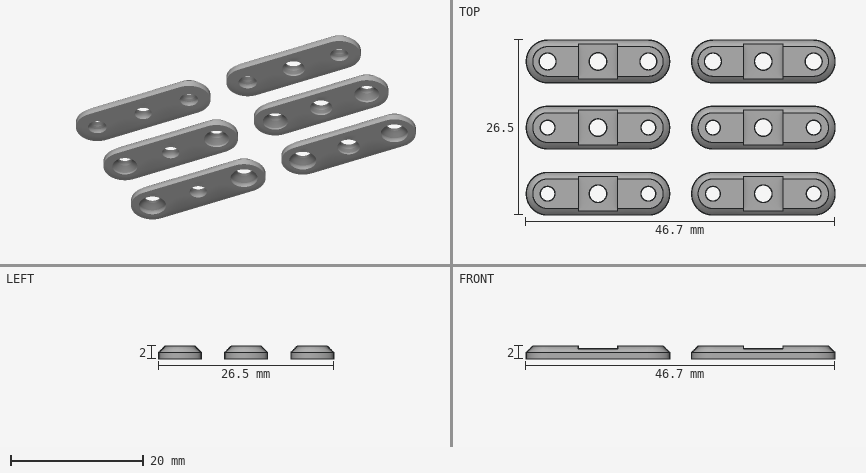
import cadquery as cq

TOTAL_LENGTH = 46.7
TOTAL_WIDTH = 26.5

PLATE_LENGTH = 21.7
PLATE_WIDTH = 6.5
PLATE_HEIGHT = 2.0
BEVEL = PLATE_HEIGHT / 2

RECESS_LENGTH = 5.95
RECESS_DEPTH = 0.395

END_HOLE_SPACING = PLATE_LENGTH - PLATE_WIDTH
END_HOLES_BY_ROW = [
    (2.2, 2.8, 0.8),
    (2.2, 3.8, 0.305),
    (2.5, 4.1, 0.8),
]

CENTER_DIAMETER = 2.6
CENTER_HEAD_DIAMETER = 3.4
CENTER_HEAD_DEPTH = 0.305

COLUMN_PITCH = TOTAL_LENGTH - PLATE_LENGTH
ROW_PITCH = (TOTAL_WIDTH - PLATE_WIDTH) / (len(END_HOLES_BY_ROW) - 1)


def plate_blank():
    """Round-ended bar with a 45 degree bevel around its top edge."""
    return (
        cq.Workplane("XY")
        .slot2D(PLATE_LENGTH, PLATE_WIDTH)
        .extrude(PLATE_HEIGHT)
        .faces(">Z")
        .chamfer(BEVEL)
    )


def recess_cutter():
    """Block that cuts the top recess across the full plate width."""
    return (
        cq.Workplane("XY")
        .workplane(offset=PLATE_HEIGHT - RECESS_DEPTH)
        .rect(RECESS_LENGTH, PLATE_WIDTH)
        .extrude(RECESS_DEPTH)
    )


def plain_hole_cutter(diameter):
    """Straight hole through the plate."""
    return cq.Workplane("XY").circle(diameter / 2).extrude(PLATE_HEIGHT)


def screw_hole_cutter(diameter, head_diameter, head_depth):
    """Through hole with a head bore from below that narrows in a 45 degree cone."""
    hole_radius = diameter / 2
    head_radius = head_diameter / 2
    cone_top = head_depth + head_radius - hole_radius
    half_profile = (
        cq.Workplane("XZ")
        .lineTo(head_radius, 0)
        .lineTo(head_radius, head_depth)
        .lineTo(hole_radius, cone_top)
        .lineTo(hole_radius, PLATE_HEIGHT)
        .lineTo(0, PLATE_HEIGHT)
        .close()
    )
    return half_profile.revolve(360, (0, 0), (0, 1))


def plate(end_cutter, center_cutter):
    """One plate, centered on the Z axis, with its recess and three holes."""
    body = plate_blank().cut(recess_cutter()).cut(center_cutter)
    for side in (-1, 1):
        body = body.cut(end_cutter.translate((side * END_HOLE_SPACING / 2, 0, 0)))
    return body


center_cutters_by_column = [
    plain_hole_cutter(CENTER_DIAMETER),
    screw_hole_cutter(CENTER_DIAMETER, CENTER_HEAD_DIAMETER, CENTER_HEAD_DEPTH),
]

plates = []
for row, end_hole in enumerate(END_HOLES_BY_ROW):
    end_cutter = screw_hole_cutter(*end_hole)
    for column, center_cutter in enumerate(center_cutters_by_column):
        position = (column * COLUMN_PITCH, row * ROW_PITCH, 0)
        plates.append(plate(end_cutter, center_cutter).translate(position).val())

result = cq.Compound.makeCompound(plates)